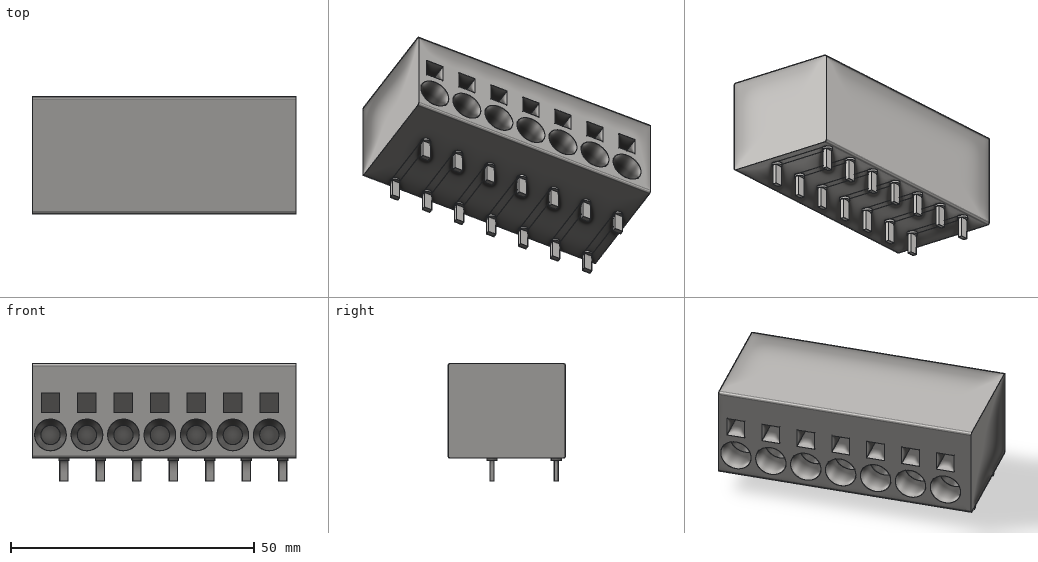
import cadquery as cq

LENGTH = 54.3
DEPTH = 24.15
TOTAL_HEIGHT = 24.2
HOUSING_HEIGHT = 19.5
EDGE_RADIUS = 0.5

POLE_COUNT = 7
ROW_LENGTH = 45.0
PITCH = ROW_LENGTH / (POLE_COUNT - 1)
FIRST_POLE_X = 3.75

WIRE_ENTRY_Z = 4.8
WIRE_ENTRY_DIAMETER = 6.5
WIRE_FLOOR_DIAMETER = 3.95
WIRE_BORE_DEPTH = 6.5
WIRE_FUNNEL_DEPTH = 2.05
WIRE_ENTRY_DEPTH = WIRE_BORE_DEPTH + WIRE_FUNNEL_DEPTH

RELEASE_Z = 11.4
RELEASE_WIDTH = 3.8
RELEASE_HEIGHT = 4.0
RELEASE_DEPTH = WIRE_ENTRY_DEPTH

CONTACT_OFFSET_X = 2.75
FRONT_LEG_Y = 9.05
REAR_LEG_Y = DEPTH - 1.9
LEG_WIDTH = 1.75
LEG_THICKNESS = 0.85
LEG_LENGTH = TOTAL_HEIGHT - HOUSING_HEIGHT
COLLAR_DIAMETER = 2.1
COLLAR_HEIGHT = 0.5
BRIDGE_THICKNESS = LEG_THICKNESS
BRIDGE_LENGTH = REAR_LEG_Y - FRONT_LEG_Y + LEG_THICKNESS

POLE_XS = [FIRST_POLE_X + pole * PITCH for pole in range(POLE_COUNT)]


def wire_entry(x):
    """Blind bore in the front face, ending in a cone that narrows to a flat floor."""
    profile = [
        (0, 0),
        (WIRE_ENTRY_DIAMETER / 2, 0),
        (WIRE_ENTRY_DIAMETER / 2, WIRE_BORE_DEPTH),
        (WIRE_FLOOR_DIAMETER / 2, WIRE_ENTRY_DEPTH),
        (0, WIRE_ENTRY_DEPTH),
    ]
    return (
        cq.Workplane("XY")
        .polyline(profile)
        .close()
        .revolve(360, (0, 0), (0, 1))
        .translate((x, 0, WIRE_ENTRY_Z))
    )


def release_opening(x):
    """Blind rectangular opening in the front face."""
    return (
        cq.Workplane("XY")
        .box(RELEASE_WIDTH, RELEASE_DEPTH, RELEASE_HEIGHT, centered=(True, False, True))
        .translate((x, 0, RELEASE_Z))
    )


def bridge(x):
    """Flat bar along Y, flush with the underside of the housing."""
    return (
        cq.Workplane("XY")
        .box(LEG_WIDTH, BRIDGE_LENGTH, BRIDGE_THICKNESS, centered=(True, True, False))
        .translate((x, (FRONT_LEG_Y + REAR_LEG_Y) / 2, 0))
    )


def make_housing():
    """Block with rounded long edges, front openings and recesses for the bridges."""
    housing = (
        cq.Workplane("XY")
        .box(LENGTH, DEPTH, HOUSING_HEIGHT, centered=False)
        .edges("|X")
        .fillet(EDGE_RADIUS)
    )
    for x in POLE_XS:
        housing = housing.cut(wire_entry(x))
        housing = housing.cut(release_opening(x))
        housing = housing.cut(bridge(x + CONTACT_OFFSET_X))
    return housing


def make_contact(x):
    """Bridge with a collar and a rectangular leg hanging from each end."""
    leg_points = [(x, FRONT_LEG_Y), (x, REAR_LEG_Y)]
    collars = cq.Workplane("XY").pushPoints(leg_points).circle(COLLAR_DIAMETER / 2).extrude(-COLLAR_HEIGHT)
    legs = cq.Workplane("XY").pushPoints(leg_points).rect(LEG_WIDTH, LEG_THICKNESS).extrude(-LEG_LENGTH)
    return bridge(x).union(collars).union(legs)


housing = make_housing()
contacts = [make_contact(x + CONTACT_OFFSET_X) for x in POLE_XS]

result = cq.Compound.makeCompound([housing.val(), *[contact.val() for contact in contacts]])